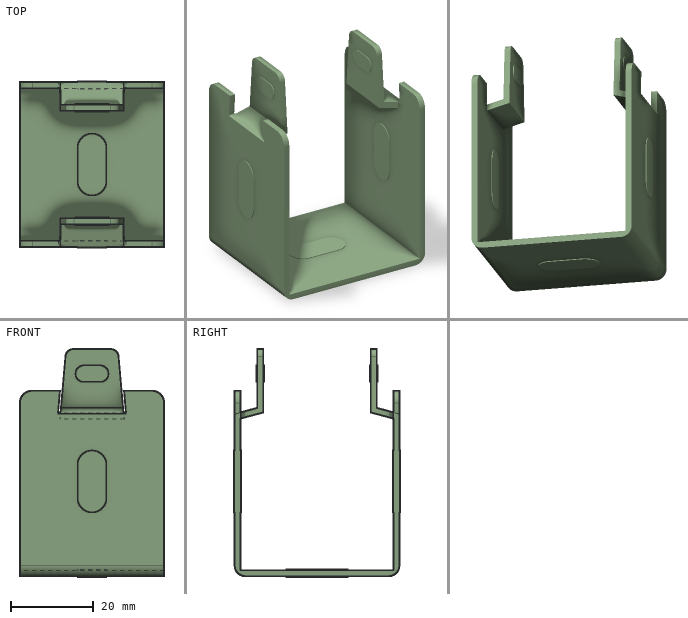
import cadquery as cq
import math

width = 35.0
depth = 40.0
wall_height = 45.0
sheet = 1.5
bend_radius = 2.7
wall_corner_radius = 3.0

tab_top = 55.11
tab_offset = 5.5
ramp_angle = 15.0
ramp_start = 39.36
tab_top_half_width = 6.3
tab_corner_radius = 2.0
side_taper = 5.0
notch_gap = 0.55

pad_height = 0.2
large_pad_length = 15.0
large_pad_width = 7.0
wall_pad_center = 23.0
tab_pad_length = 8.0
tab_pad_width = 4.0
tab_pad_center = 49.1

outer_y = -depth / 2
inner_y = outer_y + sheet
tab_outer_y = outer_y + tab_offset
tab_inner_y = tab_outer_y + sheet
ramp_slope = math.tan(math.radians(ramp_angle))
ramp_thickness = sheet / math.cos(math.radians(ramp_angle))


def ramp_upper(y):
    """Height of the ramp's upper face at position y."""
    return ramp_start + (y - outer_y) * ramp_slope


def ramp_lower(y):
    """Height of the ramp's lower face at position y."""
    return ramp_upper(y) - ramp_thickness


def tab_half_width(z):
    """Half the tab width along X at height z."""
    return tab_top_half_width + (tab_top - z) * math.tan(math.radians(side_taper))


def extrude_along_x(profile):
    """Extrude a closed YZ profile symmetrically over the channel width."""
    return profile.extrude(width / 2, both=True)


def make_channel():
    outside = cq.Workplane("XY").box(width, depth, wall_height, centered=(True, True, False))
    outside = outside.edges("|X and <Z").fillet(bend_radius)
    outside = outside.edges("|Y and >Z").fillet(wall_corner_radius)
    inside = (
        cq.Workplane("XY")
        .workplane(offset=sheet)
        .box(width, depth - 2 * sheet, wall_height, centered=(True, True, False))
    )
    return outside.cut(inside)


def tapered_plate(bottom, extra_half_width):
    """Plate with the tab's tapered sides, widened per side, spanning all of the -Y half."""
    bottom_half = tab_half_width(bottom) + extra_half_width
    top_half = tab_top_half_width + extra_half_width
    return (
        cq.Workplane("XZ")
        .polyline([(-bottom_half, bottom), (bottom_half, bottom), (top_half, tab_top), (-top_half, tab_top)])
        .close()
        .extrude(depth / 2)
    )


def make_notch():
    """Notch through the -Y wall, its floor lying in the ramp's upper face."""
    above_ramp = extrude_along_x(
        cq.Workplane("YZ").polyline(
            [
                (outer_y, ramp_upper(outer_y)),
                (inner_y, ramp_upper(inner_y)),
                (inner_y, wall_height),
                (outer_y, wall_height),
            ]
        ).close()
    )
    return above_ramp.intersect(tapered_plate(ramp_start, notch_gap))


def make_tab():
    side_profile = extrude_along_x(
        cq.Workplane("YZ").polyline(
            [
                (outer_y, ramp_lower(outer_y)),
                (tab_inner_y, ramp_lower(tab_inner_y)),
                (tab_inner_y, tab_top),
                (tab_outer_y, tab_top),
                (tab_outer_y, ramp_upper(tab_outer_y)),
                (outer_y, ramp_upper(outer_y)),
            ]
        ).close()
    )
    front_outline = tapered_plate(ramp_lower(outer_y), 0).edges("|Y and >Z").fillet(tab_corner_radius)
    return side_profile.intersect(front_outline)


def make_upright_pad(length, pad_width, angle, center_z, face_y):
    """Pad through an upright sheet whose outer face is at face_y."""
    return (
        cq.Workplane("XZ", origin=(0, face_y - pad_height, center_z))
        .slot2D(length, pad_width, angle)
        .extrude(-(sheet + 2 * pad_height))
    )


def make_base_pad():
    return (
        cq.Workplane("XY", origin=(0, 0, -pad_height))
        .slot2D(large_pad_length, large_pad_width, 90)
        .extrude(sheet + 2 * pad_height)
    )


notch = make_notch()
tab = make_tab()
wall_pad = make_upright_pad(large_pad_length, large_pad_width, 90, wall_pad_center, outer_y)
tab_pad = make_upright_pad(tab_pad_length, tab_pad_width, 0, tab_pad_center, tab_outer_y)

result = make_channel().cut(notch).cut(notch.mirror("XZ")).union(make_base_pad())
for feature in (tab, wall_pad, tab_pad):
    result = result.union(feature).union(feature.mirror("XZ"))